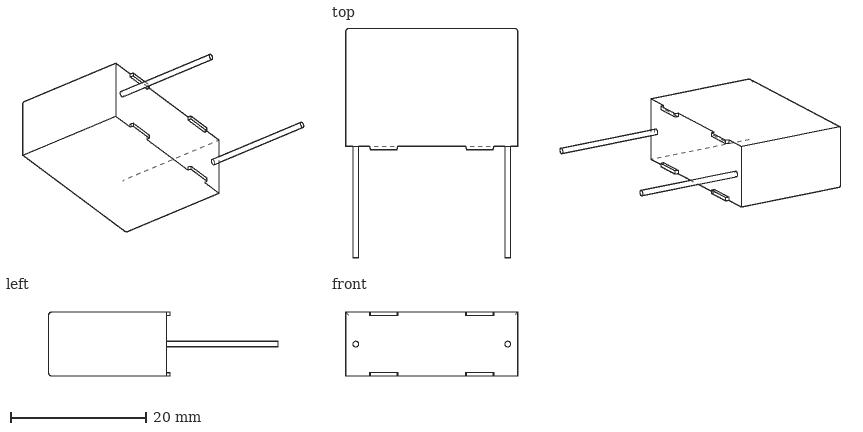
import cadquery as cq
import math

case_width = 25.5
case_depth = 17.5
case_height = 9.51
back_edge_radius = 0.5

foot_projection = 0.5
foot_thickness = 0.54
foot_root_width = 4.2
foot_side_taper_deg = 15
foot_spacing = 14.25
foot_tip_width = foot_root_width - 2 * foot_projection * math.tan(math.radians(foot_side_taper_deg))

lead_diameter = 0.85
lead_pitch = 22.5
lead_length = 16.5


def make_foot(center_x, bottom_z):
    """Foot standing out toward -Y, narrowing from its root to its tip."""
    return (
        cq.Workplane("XY", origin=(center_x, 0, bottom_z))
        .moveTo(-foot_root_width / 2, 0)
        .lineTo(-foot_tip_width / 2, -foot_projection)
        .lineTo(foot_tip_width / 2, -foot_projection)
        .lineTo(foot_root_width / 2, 0)
        .close()
        .extrude(foot_thickness)
    )


def make_case():
    """Block rounded around its back face, with two feet along each long front edge."""
    case = (
        cq.Workplane("XY")
        .box(case_width, case_depth, case_height, centered=(True, False, True))
        .faces(">Y")
        .edges()
        .fillet(back_edge_radius)
    )
    for side in (-1, 1):
        for bottom_z in (-case_height / 2, case_height / 2 - foot_thickness):
            case = case.union(make_foot(side * foot_spacing / 2, bottom_z))
    return case


def make_lead(center_x):
    """Straight round lead running toward -Y from the front face of the case."""
    return cq.Workplane("XZ", origin=(center_x, 0, 0)).circle(lead_diameter / 2).extrude(lead_length)


case = make_case()
leads = [make_lead(side * lead_pitch / 2) for side in (-1, 1)]

result = cq.Compound.makeCompound([case.val(), *[lead.val() for lead in leads]])